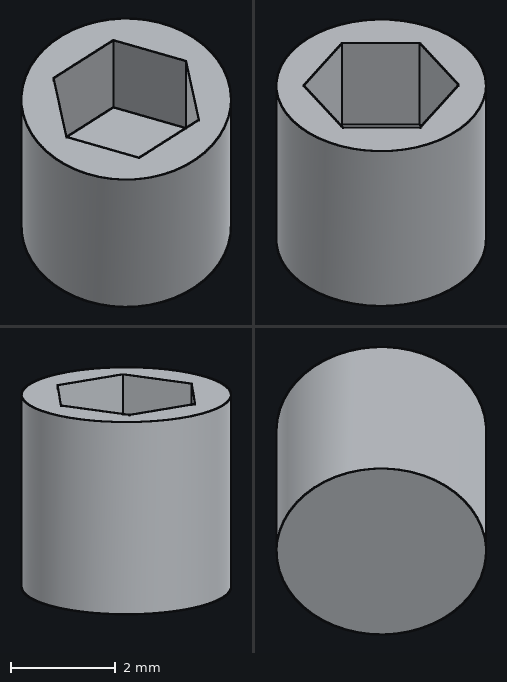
import cadquery as cq

body_diameter = 4.0
body_height = 3.8

socket_across_corners = 2.955
socket_depth = 2.0
socket_turn = 14.0

body = cq.Workplane("XY").circle(body_diameter / 2).extrude(body_height)

socket = (
    cq.Workplane("XY")
    .polygon(6, socket_across_corners)
    .extrude(socket_depth)
    .rotate((0, 0, 0), (0, 0, 1), socket_turn)
    .translate((0, 0, body_height - socket_depth))
)

result = body.cut(socket)